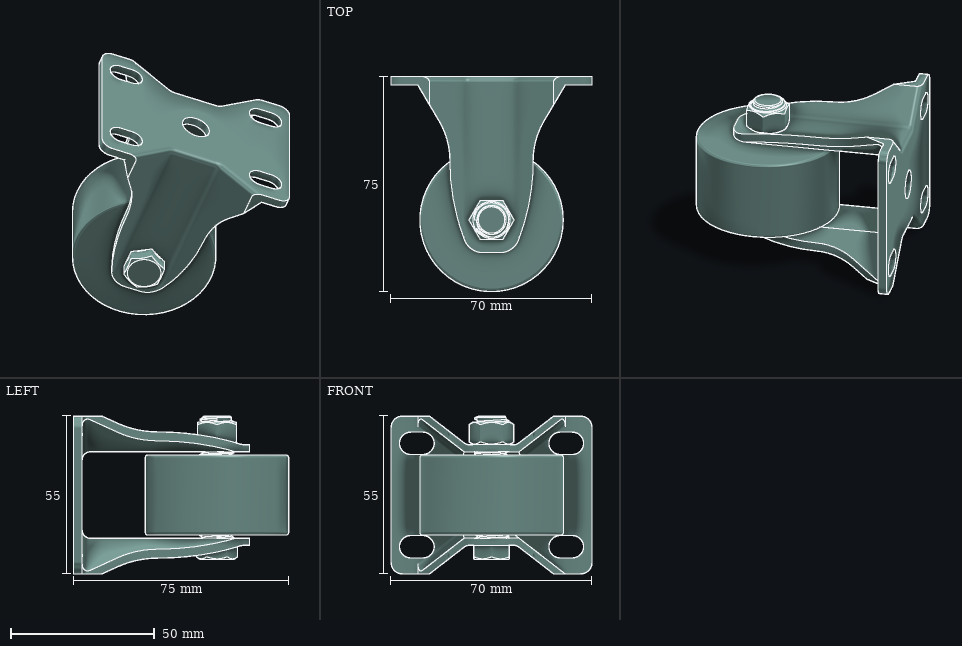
import cadquery as cq
import math


WHEEL_RADIUS = 25.0
WHEEL_WIDTH = 28.0
WHEEL_EDGE_FILLET = 1.0

PLATE_LENGTH = 70.0
PLATE_HEIGHT = 55.0
PLATE_THICKNESS = 3.1
PLATE_CORNER_RADIUS = 4.0
PLATE_BACK_Y = 50.0
PLATE_FRONT_Y = PLATE_BACK_Y - PLATE_THICKNESS
SLOT_LENGTH = 12.0
SLOT_WIDTH = 7.7
SLOT_SPACING_X = 52.0
SLOT_SPACING_Z = 36.0
CENTRE_HOLE_DIAMETER = 10.0

ARM_GAP = 1.0
ARM_THICKNESS = 2.5
ARM_INNER_Z = WHEEL_WIDTH / 2 + ARM_GAP
ARM_OUTER_Z = ARM_INNER_Z + ARM_THICKNESS
WING_TOP_Z = PLATE_HEIGHT / 2
WING_ANGLE = math.radians(37.7)
OUTER_BEND_X = 8.67
OUTER_BEND_RADIUS = 3.3
INNER_BEND_X = OUTER_BEND_X + ARM_THICKNESS * math.tan(WING_ANGLE / 2)
WING_OUTER_END_X = OUTER_BEND_X + (WING_TOP_Z - ARM_OUTER_Z) / math.tan(WING_ANGLE)
WING_INNER_END_X = INNER_BEND_X + (WING_TOP_Z - ARM_INNER_Z) / math.tan(WING_ANGLE)
INNER_ROOT_FILLET = 2.8
OUTER_ROOT_FILLET = 2.0

FLARE_ANGLE = math.radians(30.6)
NECK_RADIUS = 27.5
WAIST_X = 14.5
WAIST_Y = 20.5
TIP_Y = -11.4
TIP_FLAT_HALF = 2.9
TIP_RADIUS = 7.0
SHOULDER_ANGLE = math.radians(17.5)

THREAD_PITCH = 1.75
THREAD_MAJOR_RADIUS = 6.0
THREAD_DEPTH = 5 / 8 * math.sqrt(3) / 2 * THREAD_PITCH
THREAD_MINOR_RADIUS = THREAD_MAJOR_RADIUS - THREAD_DEPTH
THREAD_ROOT_WIDTH = 3 / 4 * THREAD_PITCH
THREAD_CREST_WIDTH = THREAD_PITCH / 8
THREAD_EMBED = 0.2
THREAD_TURNS = 24
THREAD_END_Z = 26.65
FUSE_TOLERANCE = 0.001
SHANK_SEAM_ANGLE = 37
BOLT_END_Z = PLATE_HEIGHT / 2
BOLT_END_CHAMFER = 0.45
HEAD_FLATS = 12.5
HEAD_HEIGHT = 5.0
HEAD_BEVEL_RADIUS = 5.85
NUT_FLATS = 13.6
NUT_HEIGHT = 8.0
NUT_BEVEL_RADIUS = 6.45
HEX_BEVEL_ANGLE = math.radians(36)
HEX_EDGE_FILLET = 0.3


def prism_along_y(section_points):
    """Prism with the given XZ section, from the arm tip to the plate back."""
    return (
        cq.Workplane("XZ", origin=(0, PLATE_BACK_Y, 0))
        .polyline(section_points)
        .close()
        .extrude(PLATE_BACK_Y - TIP_Y)
    )


def region_under_skin():
    """Everything between mid height and the outer skin of the upper arm."""
    half = PLATE_LENGTH / 2
    region = prism_along_y([
        (-half, 0),
        (-half, WING_TOP_Z),
        (-WING_OUTER_END_X, WING_TOP_Z),
        (-OUTER_BEND_X, ARM_OUTER_Z),
        (OUTER_BEND_X, ARM_OUTER_Z),
        (WING_OUTER_END_X, WING_TOP_Z),
        (half, WING_TOP_Z),
        (half, 0),
    ])
    middle_y = (TIP_Y + PLATE_BACK_Y) / 2
    for x in (-OUTER_BEND_X, OUTER_BEND_X):
        bend = cq.selectors.NearestToPointSelector((x, middle_y, ARM_OUTER_Z))
        region = region.edges(bend).fillet(OUTER_BEND_RADIUS)
    return region


def region_inside_arm():
    """Everything between mid height and the inner face of the upper arm."""
    half = PLATE_LENGTH / 2
    end_z = ARM_INNER_Z + (half - INNER_BEND_X) * math.tan(WING_ANGLE)
    return prism_along_y([
        (-half, 0),
        (-half, end_z),
        (-INNER_BEND_X, ARM_INNER_Z),
        (INNER_BEND_X, ARM_INNER_Z),
        (half, end_z),
        (half, 0),
    ])


def tip_corner_point(angle):
    """Point on the rounded +X tip corner, at an angle measured from +X toward -Y."""
    x = TIP_FLAT_HALF + TIP_RADIUS * math.cos(angle)
    y = TIP_Y + TIP_RADIUS * (1 - math.sin(angle))
    return (x, y)


def arm_outline():
    """Arm shape in the XY plane: flared root, waist, long taper and rounded tip."""
    root_y = (PLATE_FRONT_Y + PLATE_BACK_Y) / 2
    neck_x = WAIST_X + NECK_RADIUS * (1 - math.cos(FLARE_ANGLE))
    neck_y = WAIST_Y + NECK_RADIUS * math.sin(FLARE_ANGLE)
    root_x = neck_x + (root_y - neck_y) * math.tan(FLARE_ANGLE)
    shoulder = tip_corner_point(SHOULDER_ANGLE)
    tip_middle = tip_corner_point((SHOULDER_ANGLE + math.pi / 2) / 2)
    half = (
        cq.Workplane("XY")
        .moveTo(0, root_y)
        .lineTo(root_x, root_y)
        .lineTo(neck_x, neck_y)
        .tangentArcPoint((WAIST_X, WAIST_Y), relative=False)
        .tangentArcPoint(shoulder, relative=False)
        .threePointArc(tip_middle, (TIP_FLAT_HALF, TIP_Y))
        .lineTo(0, TIP_Y)
        .close()
        .extrude(PLATE_HEIGHT / 2)
    )
    return half.union(half.mirror("YZ"))


def both_ends(upper):
    """The upper shape together with its mirror image below."""
    return upper.union(upper.mirror("XY"))


def make_plate():
    """Rounded plate, notched top and bottom where the arms fold away."""
    plate = (
        cq.Workplane("XZ", origin=(0, PLATE_FRONT_Y, 0))
        .rect(PLATE_LENGTH, PLATE_HEIGHT)
        .extrude(-PLATE_THICKNESS)
        .edges("|Y")
        .fillet(PLATE_CORNER_RADIUS)
    )
    return plate.intersect(both_ends(region_under_skin()))


def make_arm():
    """Upper arm: a folded sheet trimmed to the arm outline."""
    return region_under_skin().cut(region_inside_arm()).intersect(arm_outline())


def fillet_at(body, points, radius):
    """Fillet the edges whose centres lie nearest to the given points."""
    edges = [body.edges(cq.selectors.NearestToPointSelector(point)).val() for point in points]
    return body.newObject([body.val().fillet(radius, edges)])


def fillet_inner_roots(bracket):
    """Round the inner root of each arm; the lower +X wing stays sharp."""
    wing_x = (INNER_BEND_X + WING_INNER_END_X) / 2
    wing_z = (ARM_INNER_Z + WING_TOP_Z) / 2
    upper = [
        (-wing_x, PLATE_FRONT_Y, wing_z),
        (0, PLATE_FRONT_Y, ARM_INNER_Z),
        (wing_x, PLATE_FRONT_Y, wing_z),
    ]
    lower = [
        (-wing_x, PLATE_FRONT_Y, -wing_z),
        (0, PLATE_FRONT_Y, -ARM_INNER_Z),
    ]
    return fillet_at(bracket, upper + lower, INNER_ROOT_FILLET)


def fillet_outer_roots(bracket):
    """Round the back edge where each arm folds out of the plate."""
    wing_x = (OUTER_BEND_X + WING_OUTER_END_X) / 2
    wing_z = (ARM_OUTER_Z + WING_TOP_Z) / 2
    for side in (1, -1):
        points = [(0, PLATE_BACK_Y, side * ARM_OUTER_Z)]
        for x_side in (-1, 1):
            points.append((x_side * OUTER_BEND_X, PLATE_BACK_Y, side * ARM_OUTER_Z))
            points.append((x_side * wing_x, PLATE_BACK_Y, side * wing_z))
        bracket = fillet_at(bracket, points, OUTER_ROOT_FILLET)
    return bracket


def make_slots():
    slot_depth = PLATE_THICKNESS + INNER_ROOT_FILLET
    return (
        cq.Workplane("XZ", origin=(0, PLATE_BACK_Y, 0))
        .rarray(SLOT_SPACING_X, SLOT_SPACING_Z, 2, 2)
        .slot2D(SLOT_LENGTH, SLOT_WIDTH)
        .extrude(slot_depth)
    )


def make_centre_hole():
    return (
        cq.Workplane("XZ", origin=(0, PLATE_BACK_Y, 0))
        .circle(CENTRE_HOLE_DIAMETER / 2)
        .extrude(PLATE_THICKNESS)
    )


def axle_hole():
    """Cylinder along Z that clears the bolt thread through both arms and the wheel."""
    return cq.Workplane("XY").circle(THREAD_MAJOR_RADIUS).extrude(PLATE_HEIGHT / 2, both=True)


def make_bracket():
    bracket = make_plate().union(both_ends(make_arm()))
    bracket = fillet_outer_roots(bracket)
    bracket = fillet_inner_roots(bracket)
    return bracket.cut(make_slots()).cut(make_centre_hole()).cut(axle_hole())


def make_wheel():
    return (
        cq.Workplane("XY", origin=(0, 0, -WHEEL_WIDTH / 2))
        .circle(WHEEL_RADIUS)
        .extrude(WHEEL_WIDTH)
        .edges()
        .fillet(WHEEL_EDGE_FILLET)
        .cut(axle_hole())
    )


def bevel_cone(bevel_radius, face_z, inward):
    """Solid cone that widens from bevel_radius at face_z toward the inside of a hexagon."""
    reach = 2 * bevel_radius
    widest = bevel_radius + reach / math.tan(HEX_BEVEL_ANGLE)
    return (
        cq.Workplane("XZ")
        .polyline([
            (0, face_z),
            (bevel_radius, face_z),
            (widest, face_z + inward * reach),
            (0, face_z + inward * reach),
        ])
        .close()
        .revolve(360, (0, 0, 0), (0, 1, 0))
    )


def hexagon(flats, base_z, height, turn):
    """Hexagonal prism with softened corner edges; turn 0 puts corners on the X axis."""
    corner_diameter = flats / math.cos(math.pi / 6)
    return (
        cq.Workplane("XY", origin=(0, 0, base_z))
        .polygon(6, corner_diameter)
        .extrude(height)
        .edges("|Z")
        .fillet(HEX_EDGE_FILLET)
        .rotate((0, 0, 0), (0, 0, 1), turn)
    )


def make_thread():
    """Right-handed helical ridge that ends on the -X side near the bolt end."""
    start_z = THREAD_END_Z - THREAD_TURNS * THREAD_PITCH
    embedded_radius = THREAD_MINOR_RADIUS - THREAD_EMBED
    helix = cq.Wire.makeHelix(
        THREAD_PITCH, THREAD_TURNS * THREAD_PITCH, THREAD_MINOR_RADIUS, cq.Vector(0, 0, start_z)
    )
    ridge = (
        cq.Workplane("XZ", origin=(0, 0, start_z))
        .polyline([
            (embedded_radius, -THREAD_ROOT_WIDTH / 2),
            (THREAD_MINOR_RADIUS, -THREAD_ROOT_WIDTH / 2),
            (THREAD_MAJOR_RADIUS, -THREAD_CREST_WIDTH / 2),
            (THREAD_MAJOR_RADIUS, THREAD_CREST_WIDTH / 2),
            (THREAD_MINOR_RADIUS, THREAD_ROOT_WIDTH / 2),
            (embedded_radius, THREAD_ROOT_WIDTH / 2),
        ])
        .close()
        .sweep(cq.Workplane(helix), isFrenet=True)
    )
    return ridge.rotate((0, 0, 0), (0, 0, 1), 180)


def make_bolt():
    head_top_z = -ARM_OUTER_Z
    head_bottom_z = head_top_z - HEAD_HEIGHT
    head = hexagon(HEAD_FLATS, head_bottom_z, HEAD_HEIGHT, 30)
    head = head.intersect(bevel_cone(HEAD_BEVEL_RADIUS, head_bottom_z, 1))
    shank = (
        cq.Workplane("XY", origin=(0, 0, head_top_z))
        .circle(THREAD_MINOR_RADIUS)
        .extrude(BOLT_END_Z - head_top_z)
        .faces(">Z")
        .chamfer(BOLT_END_CHAMFER)
        .rotate((0, 0, 0), (0, 0, 1), SHANK_SEAM_ANGLE)
    )
    threaded_shank = shank.union(make_thread(), clean=False, tol=FUSE_TOLERANCE)
    return threaded_shank.union(head, clean=False)


def make_nut(bolt):
    """Hexagon nut, bevelled at both faces, threaded to match the bolt."""
    top_z = ARM_OUTER_Z + NUT_HEIGHT
    nut = hexagon(NUT_FLATS, ARM_OUTER_Z, NUT_HEIGHT, 0)
    nut = nut.intersect(bevel_cone(NUT_BEVEL_RADIUS, ARM_OUTER_Z, 1))
    nut = nut.intersect(bevel_cone(NUT_BEVEL_RADIUS, top_z, -1))
    return nut.cut(bolt)


bracket = make_bracket()
wheel = make_wheel()
bolt = make_bolt()
nut = make_nut(bolt)

result = cq.Compound.makeCompound([bracket.val(), wheel.val(), bolt.val(), nut.val()])